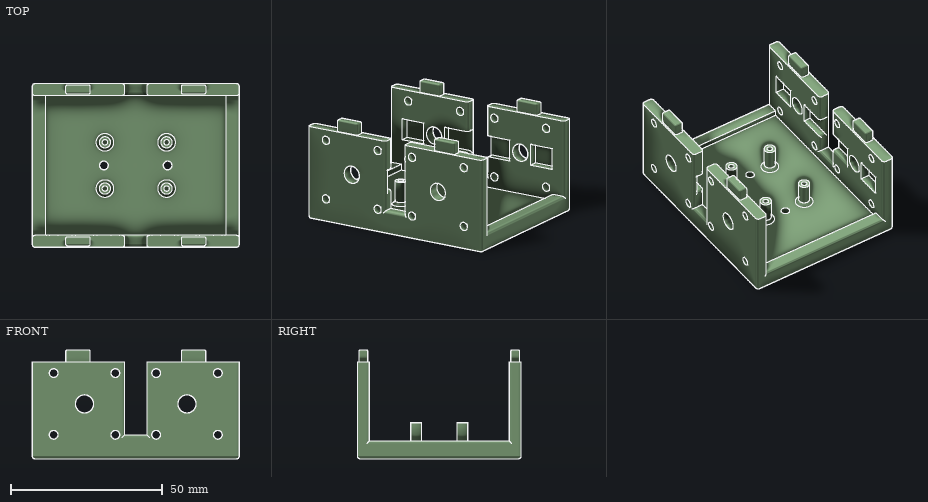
import cadquery as cq

length = 68.24
width = 54.0
wall_height = 32.0
wall_thickness = 4.0
edge_radius = 1.0

floor_top = 4.0
rail_top = 6.0
rail_width = 4.4

slot_width = 7.28
slot_bottom = 8.0

mount_offset = 16.88
mount_height = 18.16
mount_pitch = 20.32
screw_diameter = 2.8
shaft_diameter = 5.9

pocket_start = 4.1
pocket_width = 8.4
pocket_height = 7.2
end_pocket_depth = 3.0
slot_pocket_depth = 2.35
thin_wall_radius = 0.6

tab_offset = 19.04
tab_length = 8.1
tab_thickness = 3.0
tab_height = 4.0
tab_radius = 0.6

post_pitch_x = 20.32
post_pitch_y = 15.24
post_diameter = 3.7
post_top = 12.0
post_bore = 1.8
post_flare = 1.05
floor_hole_pitch = 21.0
floor_hole_diameter = 2.8

half_length = length / 2
half_width = width / 2
half_slot = slot_width / 2
inner_face = half_width - wall_thickness
wall_center = half_width - wall_thickness / 2
pocket_bottom = mount_height - pocket_height / 2
pocket_top = mount_height + pocket_height / 2
thin_wall_face = inner_face + slot_pocket_depth

TOLERANCE = 0.01


def near(value, target):
    return abs(value - target) < TOLERANCE


def box(x_limits, y_limits, z_limits):
    """Box spanning a pair of limits, in either order, along each axis."""
    limits = [sorted(pair) for pair in (x_limits, y_limits, z_limits)]
    size = [high - low for low, high in limits]
    corner = tuple(low for low, high in limits)
    return cq.Workplane("XY").box(*size, centered=False).translate(corner)


def is_tray_rim(edge):
    """True for edges around the base, the open ends, the slots and the slot-pocket sills.

    Each sill is rounded where it meets the slot; the rear right one also along its inner edge.
    """
    at = edge.Center()
    x, y = abs(at.x), abs(at.y)
    if near(at.z, wall_height):
        return False
    on_wall_face = near(y, half_width) or near(y, inner_face)
    on_slot = x < half_slot + TOLERANCE and at.z > slot_bottom - TOLERANCE
    slot_rim = on_slot and on_wall_face
    on_sill = near(at.z, pocket_bottom)
    sill_end = on_sill and near(x, half_slot) and inner_face < y < thin_wall_face
    rear_right_sill = on_sill and near(at.y, inner_face) and at.x > 0
    return near(x, half_length) or near(at.z, 0) or slot_rim or sill_end or rear_right_sill


def is_thin_wall_rim(edge):
    """True for the upright inner edges of the thinned walls beside the slots."""
    at = edge.Center()
    return near(abs(at.x), half_slot) and near(abs(at.y), thin_wall_face)


def round_edges(body, is_rounded, radius):
    return body.newObject([edge for edge in body.edges().vals() if is_rounded(edge)]).fillet(radius)


def make_tray():
    """U-shaped tray with slotted walls and rounded rims."""
    full_x = (-half_length, half_length)
    inner_y = (-inner_face, inner_face)
    tray = box(full_x, (-half_width, half_width), (0, wall_height))
    tray = tray.cut(box(full_x, inner_y, (rail_top, wall_height)))
    slot_x = (-half_slot, half_slot)
    tray = tray.cut(box(slot_x, (-half_width, half_width), (slot_bottom, wall_height)))
    pocket_reach = mount_offset - pocket_start
    pocket_x = (-pocket_reach, pocket_reach)
    tray = tray.cut(box(pocket_x, (-thin_wall_face, thin_wall_face), (pocket_bottom, pocket_top)))
    tray = round_edges(tray, is_tray_rim, edge_radius)
    tray = round_edges(tray, is_thin_wall_rim, thin_wall_radius)
    rail_inner = half_length - rail_width
    return tray.cut(box((-rail_inner, rail_inner), inner_y, (floor_top, rail_top)))


def make_wall_holes():
    """Shaft and screw holes running through both walls."""
    def holes(diameter, points):
        plane = cq.Workplane("XZ", origin=(0, half_width, 0))
        return plane.pushPoints(points).circle(diameter / 2).extrude(width)

    shafts = [(side * mount_offset, mount_height) for side in (-1, 1)]
    reach = mount_pitch / 2
    screws = [(x + dx, z + dz) for x, z in shafts for dx in (-reach, reach) for dz in (-reach, reach)]
    return holes(shaft_diameter, shafts).union(holes(screw_diameter, screws))


def make_end_pocket(x_side, y_side):
    start = mount_offset + pocket_start
    x_limits = (x_side * start, x_side * (start + pocket_width))
    y_limits = (y_side * inner_face, y_side * (inner_face + end_pocket_depth))
    return box(x_limits, y_limits, (pocket_bottom, pocket_top))


def make_tab(x_side, y_side):
    tab = cq.Workplane("XY").box(tab_length, tab_thickness, tab_height, centered=(True, True, False))
    tab = tab.edges("|Z or >Z").fillet(tab_radius)
    return tab.translate((x_side * tab_offset, y_side * wall_center, wall_height))


def make_post(x_side, y_side):
    """Standoff with a conical foot and a bore down to the floor surface."""
    post_radius = post_diameter / 2
    bore_radius = post_bore / 2
    profile = [
        (bore_radius, floor_top),
        (post_radius + post_flare, floor_top),
        (post_radius, floor_top + post_flare),
        (post_radius, post_top),
        (bore_radius, post_top),
    ]
    post = cq.Workplane("XZ").polyline(profile).close().revolve(360, (0, 0), (0, 1))
    return post.translate((x_side * post_pitch_x / 2, y_side * post_pitch_y / 2, 0))


def make_floor_holes():
    pattern = cq.Workplane("XY").rarray(floor_hole_pitch, 1, 2, 1)
    return pattern.circle(floor_hole_diameter / 2).extrude(floor_top)


result = make_tray().cut(make_wall_holes()).cut(make_floor_holes())
for x_side in (-1, 1):
    for y_side in (-1, 1):
        result = result.cut(make_end_pocket(x_side, y_side))
        result = result.union(make_tab(x_side, y_side))
        result = result.union(make_post(x_side, y_side))